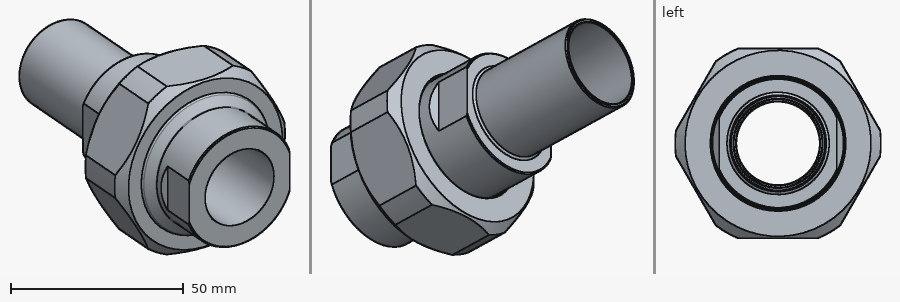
import cadquery as cq


collar_start = 37.8
nut_start = 55.0
nut_end = 75.9
total_length = 93.5

cut_clearance = 0.9

tube_diameter = 28.0
tube_bore = 25.6
tube_end_chamfer = 0.4
tube_bore_chamfer = 0.2
weld_length = 0.6
weld_height = 0.8
collar_diameter = 38.0
collar_chamfer = 0.4
collar_flats = 34.0
collar_flat_length = 11.7
shoulder_length = 3.7

nut_across_flats = 55.0
nut_corner_diameter = 59.65
nut_chamfer = 2.9
nut_neck_bore = 38.5
nut_neck_length = 3.7
nut_entry_chamfer = 0.4
nut_main_bore = 44.9

tail_diameter = collar_diameter
tail_bore = 24.1
tail_chamfer = 0.4
tail_bore_chamfer = 0.2
tail_flats = 35.2
tail_flat_length = 11.1
cone_rim_end = 76.5
cone_rim_diameter = 44.0
cone_end = 78.6
cone_root_fillet = 0.4

shoulder_start = nut_start + nut_neck_length
joint_x = shoulder_start + shoulder_length


def revolve_about_x(profile):
    """Revolve a closed profile, drawn as (x, radius), about the X axis."""
    return profile.close().revolve(360, (0, 0, 0), (1, 0, 0))


def cut_flats(body, open_end, flat_end, across_flats, diameter):
    """Cut two opposite flats in a cylinder, each ending in a 45 degree ramp out to its surface."""
    flat_y = across_flats / 2
    clear_y = diameter / 2 + cut_clearance
    direction = 1 if flat_end > open_end else -1
    ramp_end = flat_end + direction * (clear_y - flat_y)
    for side in (-1, 1):
        cutter = (
            cq.Workplane("XY")
            .moveTo(open_end, side * flat_y)
            .lineTo(flat_end, side * flat_y)
            .lineTo(ramp_end, side * clear_y)
            .lineTo(open_end, side * clear_y)
            .close()
            .extrude(diameter / 2, both=True)
        )
        body = body.cut(cutter)
    return body


def make_spigot():
    bore_radius = tube_bore / 2
    tube_radius = tube_diameter / 2
    collar_radius = collar_diameter / 2
    shoulder_radius = nut_main_bore / 2
    profile = (
        cq.Workplane("XY")
        .moveTo(tube_bore_chamfer, bore_radius)
        .lineTo(0, bore_radius + tube_bore_chamfer)
        .lineTo(0, tube_radius - tube_end_chamfer)
        .lineTo(tube_end_chamfer, tube_radius)
        .lineTo(collar_start - weld_length, tube_radius)
        .lineTo(collar_start, tube_radius + weld_height)
        .lineTo(collar_start, collar_radius - collar_chamfer)
        .lineTo(collar_start + collar_chamfer, collar_radius)
        .lineTo(shoulder_start, collar_radius)
        .lineTo(shoulder_start, shoulder_radius)
        .lineTo(joint_x, shoulder_radius)
        .lineTo(joint_x, bore_radius)
    )
    flat_end = collar_start + collar_flat_length
    return cut_flats(revolve_about_x(profile), collar_start, flat_end, collar_flats, collar_diameter)


def make_nut():
    nut_length = nut_end - nut_start
    hexagon = (
        cq.Workplane("YZ", origin=(nut_start, 0, 0))
        .polygon(6, nut_across_flats, circumscribed=True)
        .extrude(nut_length)
        .rotate((0, 0, 0), (1, 0, 0), 30)
    )
    chamfered_cylinder = (
        cq.Workplane("YZ", origin=(nut_start, 0, 0))
        .circle(nut_corner_diameter / 2)
        .extrude(nut_length)
        .edges()
        .chamfer(nut_chamfer)
    )
    neck_radius = nut_neck_bore / 2
    neck_hole = revolve_about_x(
        cq.Workplane("XY")
        .moveTo(nut_start, 0)
        .lineTo(nut_start, neck_radius + nut_entry_chamfer)
        .lineTo(nut_start + nut_entry_chamfer, neck_radius)
        .lineTo(shoulder_start, neck_radius)
        .lineTo(shoulder_start, 0)
    )
    main_hole = (
        cq.Workplane("YZ", origin=(shoulder_start, 0, 0))
        .circle(nut_main_bore / 2)
        .extrude(nut_length - nut_neck_length)
    )
    return hexagon.intersect(chamfered_cylinder).cut(neck_hole).cut(main_hole)


def make_tailpiece():
    bore_radius = tail_bore / 2
    tail_radius = tail_diameter / 2
    seat_radius = nut_main_bore / 2
    profile = (
        cq.Workplane("XY")
        .moveTo(joint_x + tail_bore_chamfer, bore_radius)
        .lineTo(joint_x, bore_radius + tail_bore_chamfer)
        .lineTo(joint_x, seat_radius)
        .lineTo(nut_end, seat_radius)
        .lineTo(cone_rim_end, cone_rim_diameter / 2)
        .lineTo(cone_end, tail_radius)
        .lineTo(total_length - tail_chamfer, tail_radius)
        .lineTo(total_length, tail_radius - tail_chamfer)
        .lineTo(total_length, bore_radius)
    )
    body = revolve_about_x(profile)
    cone_root = cq.selectors.BoxSelector(
        (cone_end - cone_root_fillet, -tail_diameter, -tail_diameter),
        (cone_end + cone_root_fillet, tail_diameter, tail_diameter),
        boundingbox=True,
    )
    body = body.edges(cone_root).fillet(cone_root_fillet)
    flat_end = total_length - tail_flat_length
    return cut_flats(body, total_length, flat_end, tail_flats, tail_diameter)


spigot = make_spigot()
nut = make_nut()
tailpiece = make_tailpiece()

result = cq.Compound.makeCompound([spigot.val(), nut.val(), tailpiece.val()])